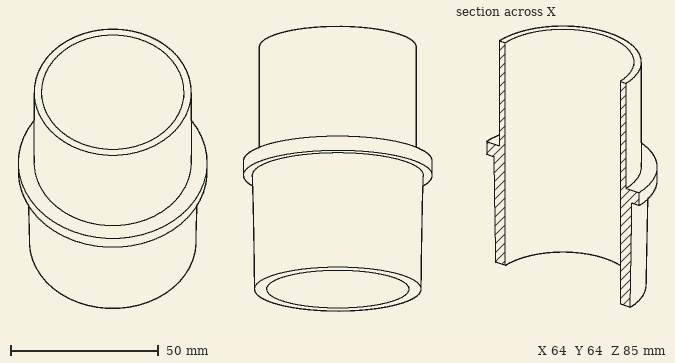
import cadquery as cq

total_height = 85.0
spigot_height = 40.0
flange_height = 5.0
sleeve_height = total_height - spigot_height - flange_height

bore_diameter = 48.2
spigot_diameter = 53.2
flange_diameter = 64.0
sleeve_top_diameter = 58.0
sleeve_bottom_diameter = 56.5


def tapered_sleeve():
    """Lower section, narrowing slightly towards its free end."""
    return (
        cq.Workplane("XY")
        .circle(sleeve_bottom_diameter / 2)
        .workplane(offset=sleeve_height)
        .circle(sleeve_top_diameter / 2)
        .loft(ruled=True)
    )


def cylinder(diameter, height, base_z):
    """Round section standing on the given height."""
    return cq.Workplane("XY").workplane(offset=base_z).circle(diameter / 2).extrude(height)


flange = cylinder(flange_diameter, flange_height, sleeve_height)
spigot = cylinder(spigot_diameter, spigot_height, sleeve_height + flange_height)
bore = cylinder(bore_diameter, total_height, 0)

result = tapered_sleeve().union(flange).union(spigot).cut(bore)